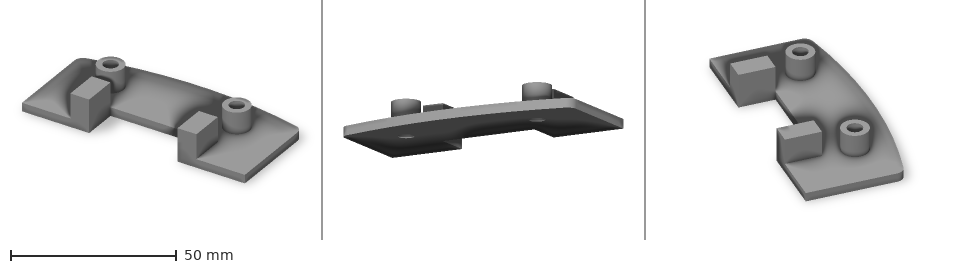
import cadquery as cq

plate_width = 79.5
plate_depth = 37.0
plate_thickness = 3.0
side_length = 32.0
corner_radius = 3.0

boss_diameter = 9.0
hole_diameter = 5.0
boss_spacing = 45.0
boss_y = 22.7
boss_top = 10.6

block_width = 6.75
block_depth = 12.0
block_top = 11.75
notch_width = boss_spacing - 2 * block_width

half_width = plate_width / 2
boss_centres = [(-boss_spacing / 2, boss_y), (boss_spacing / 2, boss_y)]


def make_plate():
    """Plate with a bowed rear edge, rounded rear corners and a front notch."""
    plate = (
        cq.Workplane("XY")
        .moveTo(-half_width, 0)
        .lineTo(half_width, 0)
        .lineTo(half_width, side_length)
        .threePointArc((0, plate_depth), (-half_width, side_length))
        .close()
        .extrude(plate_thickness)
        .edges("|Z")
        .edges(">Y")
        .fillet(corner_radius)
    )
    notch = cq.Workplane("XY").box(
        notch_width, block_depth, plate_thickness, centered=(True, False, False)
    )
    return plate.cut(notch)


def make_blocks():
    """Blocks flush with the front edge and with the notch sides."""
    block_x = (notch_width + block_width) / 2
    return (
        cq.Workplane("XY")
        .pushPoints([(-block_x, block_depth / 2), (block_x, block_depth / 2)])
        .rect(block_width, block_depth)
        .extrude(block_top)
    )


def make_cylinders(diameter, height):
    """Upright cylinders at both boss centres, starting at the plate underside."""
    return cq.Workplane("XY").pushPoints(boss_centres).circle(diameter / 2).extrude(height)


result = (
    make_plate()
    .union(make_blocks())
    .union(make_cylinders(boss_diameter, boss_top))
    .cut(make_cylinders(hole_diameter, boss_top))
)